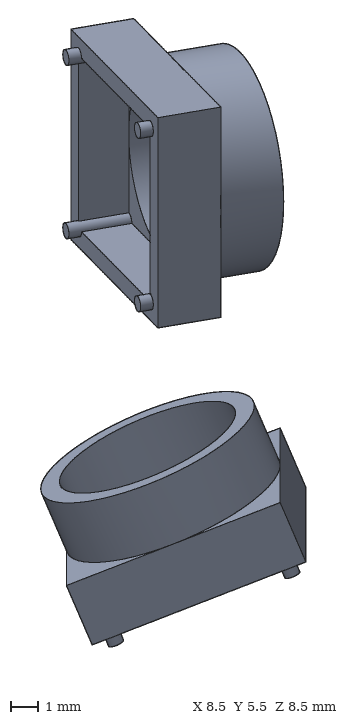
import cadquery as cq

side = 8.5
opening = 7.0
frame_depth = 2.5
collar_length = 2.5
pocket_depth = 2.0
pin_diameter = 0.6
pin_projection = 0.5

front_face = cq.Workplane("XZ")
pin_tip_plane = cq.Workplane("XZ", origin=(0, -pin_projection, 0))

frame = front_face.rect(side, side).extrude(-frame_depth)
collar = front_face.circle(side / 2).extrude(-(frame_depth + collar_length))
body = frame.union(collar)

pocket = front_face.rect(opening, opening).extrude(-pocket_depth)
bore = front_face.circle(opening / 2).extrude(-(frame_depth + collar_length))
body = body.cut(pocket).cut(bore)

pins = (
    pin_tip_plane.rect(opening, opening, forConstruction=True)
    .vertices()
    .circle(pin_diameter / 2)
    .extrude(-(pin_projection + pocket_depth))
)

result = body.union(pins)